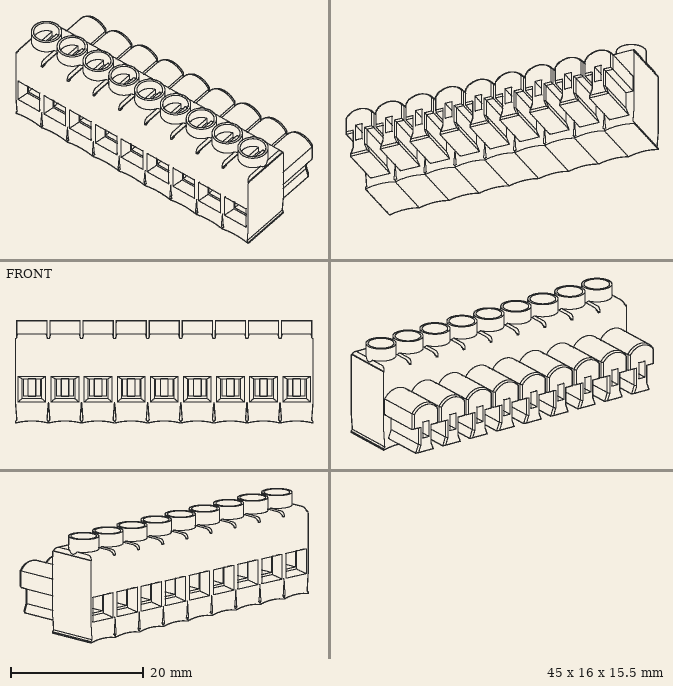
import cadquery as cq

terminal_count = 9
length = 45.0
total_depth = 16.0
total_height = 15.5
pitch = length / terminal_count

body_depth = 8.5
body_height = 13.5
edge_radius = 1.05
underside_rise = 0.3

groove_depth = 0.68
groove_top_half_width = 0.35
groove_floor_half_width = 0.15

slit_top = 3.15
slit_half_width = 0.202
flare_top = 0.5
flare_bottom = 0.22

collar_diameter = 4.6
collar_bore_diameter = 3.85
collar_y = 4.28
screw_recess = 1.6
screw_slot_width = 0.85
screw_slot_depth = 0.9

funnel_width = 4.2
funnel_bottom = 3.2
funnel_top = 7.05
funnel_depth = 1.55
throat_width = 2.95
throat_bottom = 3.75
throat_top = 6.7
chamber_width = 2.6
chamber_bottom = 4.1
chamber_end = 6.3
passage_width = 1.12

peg_width = 4.65
peg_top = 9.65
peg_shoulder = 8.35
peg_step = 5.75
peg_neck_bottom = 3.05
peg_bottom = 1.7
peg_neck_width = 2.25
peg_foot_width = 3.25
peg_overlap = 0.45
peg_chamfer_length = 0.4
peg_chamfer_inset = 0.2

terminal_centers = [(i + 0.5) * pitch for i in range(terminal_count)]
terminal_boundaries = [i * pitch for i in range(terminal_count + 1)]


def box(x_center, width, y_start, y_end, z_start, z_end):
    """Block centred on x_center between the given Y and Z limits."""
    return cq.Workplane("XY").box(width, y_end - y_start, z_end - z_start).translate(
        (x_center, (y_start + y_end) / 2, (z_start + z_end) / 2)
    )


def profile_plane(y):
    """XZ sketch plane at the given Y; a negative extrusion runs toward +Y."""
    return cq.Workplane("XZ", origin=(0, y, 0))


def top_groove(x):
    floor = body_height - groove_depth
    return (
        profile_plane(0)
        .polyline([
            (x - groove_top_half_width, body_height),
            (x - groove_floor_half_width, floor),
            (x + groove_floor_half_width, floor),
            (x + groove_top_half_width, body_height),
        ])
        .close()
        .extrude(-body_depth)
    )


def boundary_slit(x):
    return (
        profile_plane(0)
        .polyline([
            (x, slit_top),
            (x - slit_half_width, flare_top),
            (x, flare_bottom),
            (x + slit_half_width, flare_top),
        ])
        .close()
        .extrude(-body_depth)
    )


def underside_arch(x):
    return (
        profile_plane(0)
        .moveTo(x - pitch / 2, 0)
        .threePointArc((x, underside_rise), (x + pitch / 2, 0))
        .close()
        .extrude(-body_depth)
    )


def make_housing():
    housing = box(length / 2, length, 0, body_depth, 0, body_height)
    housing = housing.faces(">Z").edges("|X").fillet(edge_radius)
    for x in terminal_boundaries:
        housing = housing.cut(top_groove(x)).cut(boundary_slit(x))
    for x in terminal_centers:
        housing = housing.cut(underside_arch(x))
    return housing


def peg(x):
    """Plug peg with a domed top, a narrow neck and a flared foot; its free end is chamfered."""
    half_width = peg_width / 2
    half_neck = peg_neck_width / 2
    half_foot = peg_foot_width / 2
    blank = (
        profile_plane(body_depth - peg_overlap)
        .moveTo(x - half_width, peg_shoulder)
        .threePointArc((x, peg_top), (x + half_width, peg_shoulder))
        .lineTo(x + half_width, peg_step)
        .lineTo(x + half_neck, peg_step)
        .lineTo(x + half_neck, peg_neck_bottom)
        .lineTo(x + half_foot, peg_bottom)
        .lineTo(x - half_foot, peg_bottom)
        .lineTo(x - half_neck, peg_neck_bottom)
        .lineTo(x - half_neck, peg_step)
        .lineTo(x - half_width, peg_step)
        .close()
        .extrude(-(total_depth - body_depth + peg_overlap))
    )
    return blank.faces(">Y").chamfer(peg_chamfer_length, peg_chamfer_inset)


def collar(x):
    return (
        cq.Workplane("XY", origin=(x, collar_y, body_height - groove_depth))
        .circle(collar_diameter / 2)
        .extrude(total_height - body_height + groove_depth)
    )


def screw_recess_cut(x):
    """Collar bore down to the screw head, plus the driver slot across the head."""
    head_z = total_height - screw_recess
    bore = (
        cq.Workplane("XY", origin=(x, collar_y, head_z))
        .circle(collar_bore_diameter / 2)
        .extrude(screw_recess)
    )
    slot = (
        cq.Workplane("XY", origin=(x, collar_y, head_z - screw_slot_depth))
        .circle(collar_bore_diameter / 2)
        .extrude(screw_slot_depth)
        .intersect(box(x, screw_slot_width, 0, body_depth, 0, total_height))
    )
    return bore.union(slot)


def wire_entry_cut(x):
    funnel_height = funnel_top - funnel_bottom
    throat_height = throat_top - throat_bottom
    funnel_z = (funnel_top + funnel_bottom) / 2
    throat_z = (throat_top + throat_bottom) / 2
    funnel = (
        profile_plane(0)
        .center(x, funnel_z)
        .rect(funnel_width, funnel_height)
        .workplane(offset=-funnel_depth)
        .center(0, throat_z - funnel_z)
        .rect(throat_width, throat_height)
        .loft(ruled=True)
    )
    chamber = box(x, chamber_width, funnel_depth, chamber_end, chamber_bottom, throat_top)
    passage = box(x, passage_width, chamber_end, total_depth, chamber_bottom, throat_top)
    return funnel.union(chamber).union(passage)


result = make_housing()
for center in terminal_centers:
    result = result.union(peg(center)).union(collar(center))
for center in terminal_centers:
    result = result.cut(screw_recess_cut(center)).cut(wire_entry_cut(center))